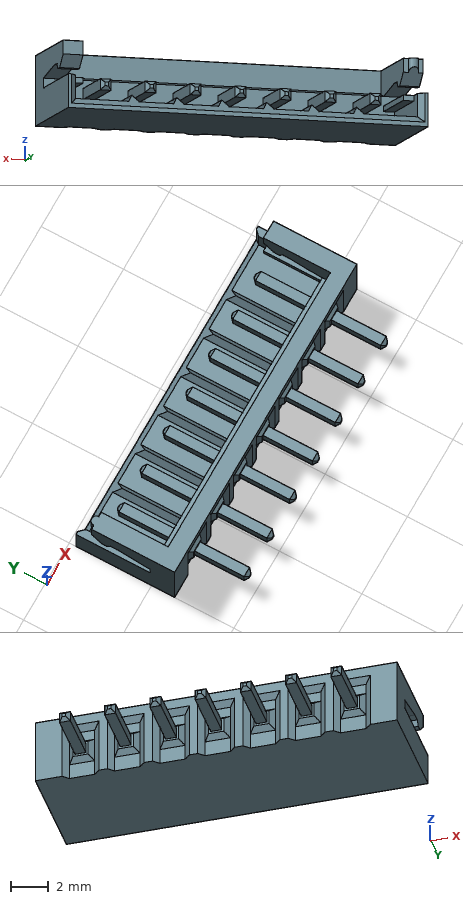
import cadquery as cq

LENGTH = 20.0
DEPTH = 6.0
HEIGHT = 3.8

PIN_COUNT = 7
PITCH = 2.5
PIN_SIZE = 0.6
PIN_HEIGHT = 1.6
PIN_FRONT = -3.2
PIN_BACK = 4.8
PIN_CHAMFER = 0.2

UPPER_WALL = 1.0
LOWER_WALL = 1.5
LEDGE_DROP = 0.18
ARM_WIDTH = 1.1
SIDE_WALL = 0.5
SIDE_WALL_HEIGHT = 1.82
SHELF_THICKNESS = 0.3
FLOOR_HEIGHT = 0.55
RIDGE_HALF_WIDTH = 0.3
RIDGE_HEIGHT = 0.42
MOUTH_CHAMFER = 0.32

ARM_END = 5.05
HOOK_BOTTOM = 2.42
HOOK_BACK = 4.42
HOOK_FRONT = 4.08
SLOT_ROOF = 2.72
SLOT_ROOF_BACK = 3.9
SLOT_ROOF_FRONT = 3.45
SLOT_END_ROOF = 2.35
NOSE_HEIGHT = 3.32
KEY_RADIUS = 0.28
KEY_OFFSET = 0.55

RECESS_WIDTH = 2.05
RECESS_TOP = 3.22
RECESS_TAPER = 0.32
RECESS_DEPTH = 0.3
BOSS_BASE = RECESS_WIDTH - 2 * RECESS_TAPER
BOSS_TIP = 0.85

KEY_END = ARM_END + KEY_RADIUS
PIN_XS = [(i - (PIN_COUNT - 1) / 2) * PITCH for i in range(PIN_COUNT)]
RIDGE_XS = [x + PITCH / 2 for x in PIN_XS[:-1]]


def box(x_range, y_range, z_range):
    """Box spanning the given (low, high) ranges."""
    sizes = [high - low for low, high in (x_range, y_range, z_range)]
    corner = (x_range[0], y_range[0], z_range[0])
    return cq.Workplane("XY").box(*sizes, centered=False).translate(corner)


def extrude_along_x(side_outline, x_range):
    """Extrude a closed (y, z) outline over the given X range."""
    start, end = x_range
    return cq.Workplane("YZ", origin=(start, 0, 0)).polyline(side_outline).close().extrude(end - start)


def loft_along_y(outline_start, y_start, outline_end, y_end):
    """Ruled solid between two (x_low, x_high, z_low, z_high) rectangles facing Y."""
    wires = []
    for (x_low, x_high, z_low, z_high), y in ((outline_start, y_start), (outline_end, y_end)):
        corners = [(x_low, y, z_low), (x_high, y, z_low), (x_high, y, z_high), (x_low, y, z_high)]
        wires.append(cq.Wire.makePolygon([cq.Vector(*corner) for corner in corners], close=True))
    return cq.Workplane(cq.Solid.makeLoft(wires, True))


def make_base():
    """Floor tray with low side walls and a tall front wall, which has a sloped ledge on its inner side."""
    side_outline = [
        (0, 0),
        (DEPTH, 0),
        (DEPTH, SIDE_WALL_HEIGHT),
        (LOWER_WALL, SIDE_WALL_HEIGHT),
        (LOWER_WALL, SLOT_END_ROOF),
        (UPPER_WALL, SLOT_END_ROOF + LEDGE_DROP),
        (UPPER_WALL, HEIGHT),
        (0, HEIGHT),
    ]
    return extrude_along_x(side_outline, (-LENGTH / 2, LENGTH / 2))


def make_cavity():
    """Space between the side walls, less the ridges on its floor, flared at the back opening."""

    def section(offset):
        """Bounds of the cavity grown by the offset at its sides and floor."""
        half = LENGTH / 2 - SIDE_WALL + offset
        return (-half, half, FLOOR_HEIGHT - offset, HEIGHT)

    x_low, x_high, z_low, z_high = section(0)
    cavity = box((x_low, x_high), (LOWER_WALL, DEPTH), (z_low, z_high))
    for x in RIDGE_XS:
        ridge = (
            cq.Workplane("XZ", origin=(x, DEPTH, 0))
            .moveTo(-RIDGE_HALF_WIDTH, FLOOR_HEIGHT)
            .lineTo(RIDGE_HALF_WIDTH, FLOOR_HEIGHT)
            .lineTo(0, FLOOR_HEIGHT + RIDGE_HEIGHT)
            .close()
            .extrude(DEPTH - LOWER_WALL)
        )
        cavity = cavity.cut(ridge)

    flare_length = MOUTH_CHAMFER + RIDGE_HEIGHT
    flare_start = section(MOUTH_CHAMFER - flare_length)
    flare = loft_along_y(flare_start, DEPTH - flare_length, section(MOUTH_CHAMFER), DEPTH)
    return cavity.union(flare)


def make_shelves():
    """Shelves along the tops of the side walls, as wide and as long as the arms above them."""
    half = LENGTH / 2
    inner = half - ARM_WIDTH
    extent = ((0, ARM_END), (SIDE_WALL_HEIGHT - SHELF_THICKNESS, SIDE_WALL_HEIGHT))
    return box((-half, -inner), *extent).union(box((inner, half), *extent))


def make_arm(outer_x, inner_x):
    """Latch arm with a hooked nose, reaching to the tip of the key."""
    side_outline = [
        (0, HEIGHT),
        (KEY_END, HEIGHT),
        (KEY_END, NOSE_HEIGHT),
        (HOOK_BACK, HOOK_BOTTOM),
        (HOOK_FRONT, HOOK_BOTTOM),
        (SLOT_ROOF_BACK, SLOT_ROOF),
        (SLOT_ROOF_FRONT, SLOT_ROOF),
        (LOWER_WALL, SLOT_END_ROOF),
        (LOWER_WALL, SIDE_WALL_HEIGHT),
        (0, SIDE_WALL_HEIGHT),
    ]
    return extrude_along_x(side_outline, (outer_x, inner_x))


def make_arms():
    """Both arms cut to length; only the -X arm keeps a rounded key on its end."""
    half = LENGTH / 2
    inner = half - ARM_WIDTH
    blanks = make_arm(-half, -inner).union(make_arm(inner, half))
    arm_extent = box((-half, half), (0, ARM_END), (0, HEIGHT))
    key_extent = (
        cq.Workplane("XY")
        .center(KEY_OFFSET - half, ARM_END)
        .circle(KEY_RADIUS)
        .extrude(HEIGHT)
    )
    return blanks.intersect(arm_extent.union(key_extent))


def square_around_pin(x, size):
    """Bounds of a square centred on the pin axis at x."""
    half = size / 2
    return (x - half, x + half, PIN_HEIGHT - half, PIN_HEIGHT + half)


def make_recess(x):
    """Tapered recess in the front face, open at the bottom."""
    half = RECESS_WIDTH / 2
    half_inner = half - RECESS_TAPER
    mouth = (x - half, x + half, 0, RECESS_TOP)
    bottom = (x - half_inner, x + half_inner, 0, RECESS_TOP - RECESS_TAPER)
    return loft_along_y(mouth, 0, bottom, RECESS_DEPTH)


def make_boss(x):
    """Pyramid-shaped boss around the pin, rising from the recess to the front face."""
    base = square_around_pin(x, BOSS_BASE)
    tip = square_around_pin(x, BOSS_TIP)
    return loft_along_y(base, RECESS_DEPTH, tip, 0)


def make_pin(x):
    """Square contact pin with chamfered ends."""
    half = PIN_SIZE / 2
    pin = box((x - half, x + half), (PIN_FRONT, PIN_BACK), (PIN_HEIGHT - half, PIN_HEIGHT + half))
    return pin.faces("<Y or >Y").chamfer(PIN_CHAMFER)


body = make_base().cut(make_cavity()).union(make_shelves()).union(make_arms())
for pin_x in PIN_XS:
    body = body.cut(make_recess(pin_x)).union(make_boss(pin_x)).union(make_pin(pin_x))

result = body